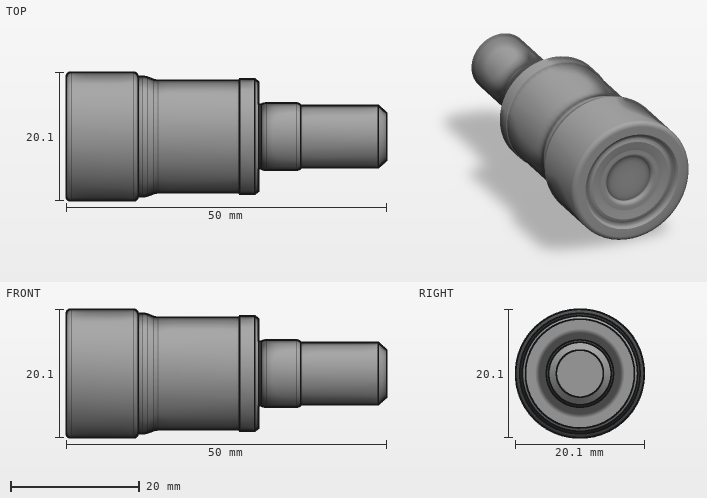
import cadquery as cq
import math

LENGTH = 49.95

CAP_RADIUS = 10.05
CAP_LENGTH = 11.2
CAP_FRONT_FILLET = 0.75
CAP_REAR_FILLET = 0.75
DISH_RADIUS = 8.0
DISH_WALL_RADIUS = 7.75
DISH_WALL_DEPTH = 0.3
GROOVE_DEPTH = 0.65
GROOVE_ARC_RADIUS = 0.6
RING_OUTER_RADIUS = 7.2
RING_INNER_RADIUS = 6.55
RING_DEPTH = 0.45
CONE_INNER_RADIUS = 5.1
CONE_DEPTH = 0.75
LIP_RADIUS = 4.45

NOSE_RADIUS = 3.75
NOSE_DEPTH = 1.5

SHOULDER_RADIUS = 9.4
SHOULDER_END = 11.9
BARREL_RADIUS = 8.8
TAPER_ANGLE = math.radians(20)
BLEND_LENGTH = 0.75
TAPER_START = SHOULDER_END + BLEND_LENGTH
TAPER_END = 13.55

COLLAR_RADIUS = 9.0
COLLAR_START = 27.0
COLLAR_LEAD = 0.1
COLLAR_END = 30.0
COLLAR_CHAMFER_LENGTH = 0.6
COLLAR_CHAMFER_DEPTH = 0.5

NECK_RADIUS = 5.05
NECK_END = 30.45
SEAT_RADIUS = 5.25
SEAT_END = 35.8
SHAFT_RADIUS = 9.75 / 2
SHAFT_CHAMFER_LENGTH = 1.35
SHAFT_CHAMFER_DEPTH = 1.2


def revolve_about_x(profile):
    return profile.close().revolve(360, (0, 0, 0), (1, 0, 0))


def make_cap():
    lip_depth = CONE_DEPTH + LIP_RADIUS - NOSE_RADIUS
    profile = (
        cq.Workplane("XY")
        .moveTo(CAP_LENGTH, NOSE_RADIUS)
        .lineTo(CAP_LENGTH, CAP_RADIUS - CAP_REAR_FILLET)
        .radiusArc((CAP_LENGTH - CAP_REAR_FILLET, CAP_RADIUS), -CAP_REAR_FILLET)
        .lineTo(CAP_FRONT_FILLET, CAP_RADIUS)
        .radiusArc((0, CAP_RADIUS - CAP_FRONT_FILLET), -CAP_FRONT_FILLET)
        .lineTo(0, DISH_RADIUS)
        .lineTo(DISH_WALL_DEPTH, DISH_WALL_RADIUS)
        .radiusArc((GROOVE_DEPTH, RING_OUTER_RADIUS), GROOVE_ARC_RADIUS)
        .lineTo(RING_DEPTH, RING_INNER_RADIUS)
        .lineTo(CONE_DEPTH, CONE_INNER_RADIUS)
        .lineTo(CONE_DEPTH, LIP_RADIUS)
        .radiusArc((lip_depth, NOSE_RADIUS), -(LIP_RADIUS - NOSE_RADIUS))
    )
    return revolve_about_x(profile)


def make_body():
    blend_drop = BLEND_LENGTH * math.tan(TAPER_ANGLE / 2)
    seat_end_blend = SEAT_END + BLEND_LENGTH
    profile = (
        cq.Workplane("XY")
        .moveTo(NOSE_DEPTH, 0)
        .lineTo(NOSE_DEPTH, NOSE_RADIUS)
        .lineTo(CAP_LENGTH, NOSE_RADIUS)
        .lineTo(CAP_LENGTH, SHOULDER_RADIUS)
        .lineTo(SHOULDER_END, SHOULDER_RADIUS)
        .tangentArcPoint((TAPER_START, SHOULDER_RADIUS - blend_drop), relative=False)
        .lineTo(TAPER_END, BARREL_RADIUS + blend_drop)
        .tangentArcPoint((TAPER_END + BLEND_LENGTH, BARREL_RADIUS), relative=False)
        .lineTo(COLLAR_START, BARREL_RADIUS)
        .lineTo(COLLAR_START + COLLAR_LEAD, COLLAR_RADIUS)
        .lineTo(COLLAR_END - COLLAR_CHAMFER_LENGTH, COLLAR_RADIUS)
        .lineTo(COLLAR_END, COLLAR_RADIUS - COLLAR_CHAMFER_DEPTH)
        .lineTo(COLLAR_END, NECK_RADIUS)
        .lineTo(NECK_END, NECK_RADIUS)
        .radiusArc((NECK_END + BLEND_LENGTH, SEAT_RADIUS), tangent_radius(SEAT_RADIUS - NECK_RADIUS))
        .lineTo(SEAT_END, SEAT_RADIUS)
        .tangentArcPoint((seat_end_blend, SHAFT_RADIUS), relative=False)
        .lineTo(LENGTH - SHAFT_CHAMFER_LENGTH, SHAFT_RADIUS)
        .lineTo(LENGTH, SHAFT_RADIUS - SHAFT_CHAMFER_DEPTH)
        .lineTo(LENGTH, 0)
    )
    return revolve_about_x(profile)


def tangent_radius(rise):
    """Radius of an arc that spans one blend length and ends parallel to the axis."""
    return (BLEND_LENGTH**2 + rise**2) / (2 * rise)


cap = make_cap()
body = make_body()

result = cq.Compound.makeCompound([cap.val(), body.val()])